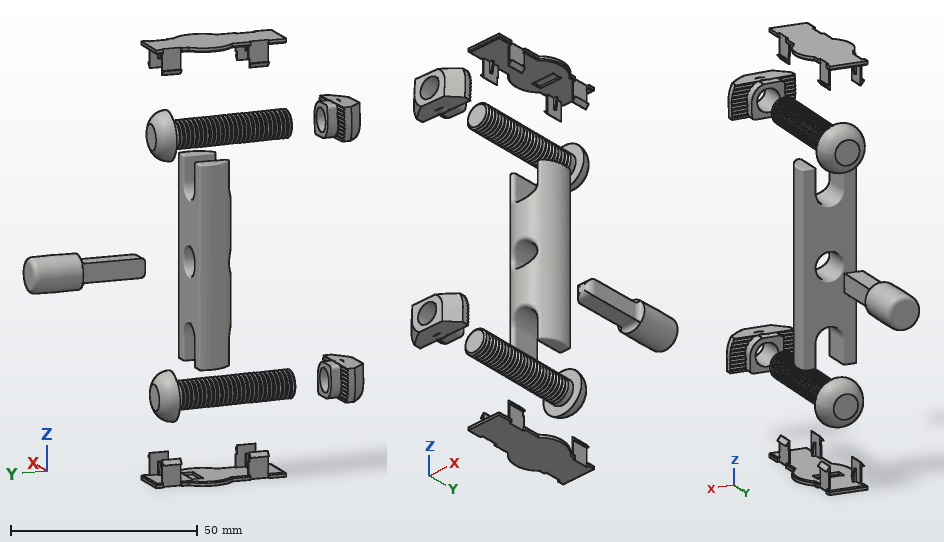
import cadquery as cq
import math

housing_radius = 8.5
housing_length = 56.9
housing_axis_y = -2.0
housing_back_y = 1.0
housing_mid_z = -0.1
housing_edge_round = 0.5
bore_diameter = 8.1
slot_center_offset = 21.2
bore_round = 1.0

plunger_tip_y = 13.9
tip_flat_half = 0.91
tip_round_length = 2.2
shank_half = 2.72
flare_radius = 1.5
knob_front_y = 33.3
knob_parting_y = 40.3
plunger_back_y = 47.2
knob_end_radius = 5.0
knob_parting_radius = 5.1
knob_back_round = 1.5

head_diameter = 14.0
head_height = 4.7
head_rim = 0.2
dome_bulge = 0.8
head_flat_radius = 3.6
bolt_length = 34.6
thread_diameter = 8.0
core_diameter = 6.8
thread_pitch = 1.25
thread_flat = 0.2
plain_neck = 1.9
thread_count = 26

nut_reach = 9.5
nut_half_height = 4.8
nut_stem_reach = 5.02
nut_stem_length = 2.9
nut_edge_length = 2.3
nut_front_reach = 5.6
nut_bevel = nut_reach - nut_front_reach
nut_length = nut_stem_length + nut_edge_length + nut_bevel
nut_stem_corner = 1.1
nut_hole_diameter = 6.8
serration_pitch = 1.1
serration_depth = 0.4
serration_count = 9

fastener_tilt = 0.8
nut_front_distance = 53.3
upper_seat_y = 7.1
lower_seat_y = 6.2
upper_seat_z = 35.2
lower_seat_z = -36.8
upper_nut_roll = 2.0
lower_nut_roll = 0.5

cap_outer_z = 60.5
cap_thickness = 1.2
cap_half_width = 5.7
cap_back_y = 12.6
cap_front_y = -24.9
cap_disc_radius = 8.5
cap_disc_y = -3.0
cap_edge_chamfer = 0.4
cap_pocket_length = 7.7
cap_pocket_width = 3.3
cap_pocket_depth = 0.7
clip_width = 5.3
clip_back_y = 7.9
clip_front_y = -17.3
clip_outer_x = 5.0
clip_thickness = 0.5
clip_tip_height = 7.4
clip_tip_width = 0.1
barb_height = 1.3
barb_reach = 0.7
rib_height = 4.8
rib_reach = 1.0
rib_top_reach = 0.5
rib_width = 0.6
shoulder_width = 0.4


def make_housing():
    half = housing_length / 2
    bar = (
        cq.Workplane("XY", origin=(0, housing_axis_y, -half))
        .circle(housing_radius)
        .extrude(housing_length)
    )
    cut_depth = housing_radius
    behind = cq.Workplane("XY").box(
        4 * housing_radius, cut_depth, 2 * housing_length, centered=(True, False, True)
    )
    bar = bar.cut(behind.translate((0, housing_back_y, 0)))

    def through(sketch):
        return sketch.extrude(4 * housing_radius, both=True)

    openings = through(cq.Workplane("XZ").circle(bore_diameter / 2))
    for side in (1, -1):
        round_end = cq.Workplane("XZ").center(0, side * slot_center_offset).circle(bore_diameter / 2)
        straight = cq.Workplane("XZ").center(0, side * (slot_center_offset + half / 2)).rect(bore_diameter, half)
        openings = openings.union(through(round_end)).union(through(straight))
    bar = bar.cut(openings)
    mouth_half = bore_diameter / 2 + bore_round
    mouths = cq.selectors.BoxSelector(
        (-mouth_half, -2 * housing_radius, -housing_length), (mouth_half, housing_axis_y, housing_length)
    )
    bar = bar.faces("%CYLINDER").edges(mouths).fillet(bore_round)
    bar = bar.faces("|Z or >Y").edges().fillet(housing_edge_round)
    return bar.translate((0, 0, housing_mid_z))


def shank_outline(plane):
    """Square-shank silhouette, flared at the knob and rounded at the tip, extruded across."""
    flare_y = knob_front_y - flare_radius
    side_start_y = plunger_tip_y + tip_round_length
    tip_radius = (tip_round_length**2 + (shank_half - tip_flat_half) ** 2) / (2 * (shank_half - tip_flat_half))
    flare_mid = flare_radius * (1 - math.sqrt(0.5))
    tip_angle = math.asin(tip_round_length / tip_radius) / 2
    tip_mid = (
        shank_half - tip_radius * (1 - math.cos(tip_angle)),
        side_start_y - tip_radius * math.sin(tip_angle),
    )
    flared_half = shank_half + flare_radius
    return (
        cq.Workplane(plane)
        .moveTo(-tip_flat_half, plunger_tip_y)
        .lineTo(tip_flat_half, plunger_tip_y)
        .threePointArc(tip_mid, (shank_half, side_start_y))
        .lineTo(shank_half, flare_y)
        .threePointArc((shank_half + flare_mid, knob_front_y - flare_mid), (flared_half, knob_front_y))
        .lineTo(-flared_half, knob_front_y)
        .threePointArc((-shank_half - flare_mid, knob_front_y - flare_mid), (-shank_half, flare_y))
        .lineTo(-shank_half, side_start_y)
        .threePointArc((-tip_mid[0], tip_mid[1]), (-tip_flat_half, plunger_tip_y))
        .close()
        .extrude(2 * flared_half, both=True)
    )


def make_plunger():
    knob = (
        cq.Workplane("XY")
        .moveTo(0, knob_front_y)
        .lineTo(knob_end_radius, knob_front_y)
        .lineTo(knob_parting_radius, knob_parting_y)
        .lineTo(knob_end_radius, plunger_back_y)
        .lineTo(0, plunger_back_y)
        .close()
        .revolve(360, (0, 0, 0), (0, 1, 0))
        .faces(">Y")
        .edges()
        .fillet(knob_back_round)
    )
    across_x = shank_outline("XY")
    across_z = shank_outline(cq.Plane((0, 0, 0), xDir=(0, 0, 1), normal=(-1, 0, 0)))
    envelope = cq.Workplane("XZ").circle(knob_end_radius).extrude(-plunger_back_y)
    shank = across_x.intersect(across_z).intersect(envelope)
    return knob.union(shank).translate((0, 0, housing_mid_z))


def make_bolt():
    """Bolt along -Y with the underside of its head at y = 0."""
    head_radius = head_diameter / 2
    crest = thread_diameter / 2
    root = core_diameter / 2
    flank = thread_pitch / 2 - thread_flat
    dome_angle = math.atan2(head_height - head_rim, head_radius - head_flat_radius)
    dome_mid = (
        (head_radius + head_flat_radius) / 2 + dome_bulge * math.sin(dome_angle),
        (head_height + head_rim) / 2 + dome_bulge * math.cos(dome_angle),
    )
    profile = (
        cq.Workplane("XY")
        .moveTo(0, head_height)
        .lineTo(head_flat_radius, head_height)
        .threePointArc(dome_mid, (head_radius, head_rim))
        .lineTo(head_radius, 0)
        .lineTo(crest, 0)
    )
    for ring in range(thread_count):
        y = -plain_neck - ring * thread_pitch
        profile = (
            profile.lineTo(crest, y)
            .lineTo(root, y - flank)
            .lineTo(root, y - flank - thread_flat)
            .lineTo(crest, y - 2 * flank - thread_flat)
        )
    return (
        profile.lineTo(root, -bolt_length)
        .lineTo(0, -bolt_length)
        .close()
        .revolve(360, (0, 0, 0), (0, 1, 0))
    )


def half_round_block(half_outline, half_height):
    """Block from the +X half of its outline: two opposite quarters are square, the other two turned."""
    outline = cq.Workplane("XY").polyline(half_outline).close()
    square = outline.extrude(half_height, both=True)
    square = square.union(square.mirror("YZ"))
    turned = cq.Workplane("XY").polyline(half_outline).close().revolve(360, (0, 0, 0), (0, 1, 0))
    size = 2 * nut_reach
    quarter = cq.Workplane("XY").box(size, size, half_height, centered=(False, True, False))
    opposite = quarter.rotate((0, 0, 0), (0, 1, 0), 180)
    round_quarters = turned.intersect(quarter.union(opposite))
    square_quarters = square.cut(quarter).cut(opposite)
    return square_quarters.union(round_quarters)


def make_nut():
    """Nut along Y with its bevelled front at y = 0 and its stem toward +Y."""
    stem_y = nut_length - nut_stem_length
    body_outline = [(0, 0), (nut_front_reach, 0), (nut_reach, nut_bevel), (nut_reach, stem_y), (0, stem_y)]
    stem_outline = [(0, stem_y), (nut_stem_reach, stem_y), (nut_stem_reach, nut_length), (0, nut_length)]
    body = half_round_block(body_outline, nut_half_height)
    for index in range(serration_count):
        z = (index - (serration_count - 1) / 2) * serration_pitch
        groove = (
            cq.Workplane("YZ")
            .polyline([
                (stem_y, z - serration_pitch / 2),
                (stem_y - serration_depth, z),
                (stem_y, z + serration_pitch / 2),
            ])
            .close()
            .extrude(2 * nut_reach, both=True)
        )
        body = body.cut(groove)
    core = cq.Workplane("XZ", origin=(0, stem_y, 0)).circle(nut_stem_reach).extrude(nut_edge_length)
    body = body.union(core)
    stem = half_round_block(stem_outline, nut_half_height)
    for x, z in ((-1, 1), (1, -1)):
        corner = cq.selectors.NearestToPointSelector((x * nut_stem_reach, nut_length, z * nut_half_height))
        stem = stem.edges("|Y").edges(corner).fillet(nut_stem_corner)
    nut = body.union(stem)
    hole = cq.Workplane("XZ").circle(nut_hole_diameter / 2).extrude(-nut_length)
    return nut.cut(hole)


def place_on_axis(body, seat_y, seat_z):
    return body.rotate((0, 0, 0), (1, 0, 0), -fastener_tilt).translate((0, seat_y, seat_z))


def make_clip(side, mid_y, shoulder):
    """Barbed clip with an inner rib; side is +1 or -1 along X."""
    inner_x = clip_outer_x - clip_thickness
    ledge_z = clip_tip_height - barb_height
    blade = (
        cq.Workplane("XZ", origin=(0, mid_y, 0))
        .polyline([
            (side * inner_x, 0),
            (side * clip_outer_x, 0),
            (side * clip_outer_x, ledge_z),
            (side * (clip_outer_x + barb_reach), ledge_z),
            (side * (inner_x + clip_tip_width), clip_tip_height),
            (side * inner_x, clip_tip_height),
        ])
        .close()
        .extrude(clip_width / 2, both=True)
    )
    rib = (
        cq.Workplane("XZ", origin=(0, mid_y, 0))
        .polyline([
            (side * clip_outer_x, 0),
            (side * (inner_x - rib_reach), 0),
            (side * (inner_x - rib_reach), cap_thickness),
            (side * (inner_x - rib_top_reach), rib_height),
            (side * clip_outer_x, rib_height),
        ])
        .close()
        .extrude(rib_width / 2, both=True)
    )
    clip = blade.union(rib)
    if shoulder:
        step = cq.Workplane("XY").box(clip_thickness, shoulder_width, rib_height, centered=(True, False, False))
        clip = clip.union(step.translate((side * (inner_x + clip_thickness / 2), mid_y + clip_width / 2, 0)))
    return clip


def make_cap():
    """Cap with its outer face at z = 0 and its clips toward +Z."""
    strip_length = cap_back_y - cap_front_y
    strip_mid_y = (cap_back_y + cap_front_y) / 2
    strip = cq.Workplane("XY").center(0, strip_mid_y).rect(2 * cap_half_width, strip_length).extrude(cap_thickness)
    disc = cq.Workplane("XY").center(0, cap_disc_y).circle(cap_disc_radius).extrude(cap_thickness)
    plate = strip.union(disc).faces(">Z").edges().chamfer(cap_edge_chamfer)
    pocket = cq.Workplane("XY", origin=(0, 0, cap_thickness)).rect(cap_pocket_length, cap_pocket_width)
    plate = plate.cut(pocket.extrude(-cap_pocket_depth))
    notch_depth = cap_half_width - clip_outer_x
    for side in (1, -1):
        for mid_y in (clip_back_y, clip_front_y):
            notch = cq.Workplane("XY").box(2 * notch_depth, clip_width, 3 * cap_thickness)
            plate = plate.cut(notch.translate((side * (clip_outer_x + notch_depth), mid_y, 0)))
            plate = plate.union(make_clip(side, mid_y, mid_y == clip_front_y))
    return plate


housing = make_housing()
plunger = make_plunger()

bolts = []
nuts = []
for seat_y, seat_z, roll in (
    (upper_seat_y, upper_seat_z, upper_nut_roll),
    (lower_seat_y, lower_seat_z, lower_nut_roll),
):
    bolts.append(place_on_axis(make_bolt(), seat_y, seat_z).val())
    rolled_nut = make_nut().rotate((0, 0, 0), (0, 1, 0), roll).translate((0, -nut_front_distance, 0))
    nuts.append(place_on_axis(rolled_nut, seat_y, seat_z).val())

lower_cap = make_cap().translate((0, 0, -cap_outer_z))
upper_cap = make_cap().rotate((0, 0, 0), (0, 1, 0), 180).translate((0, 0, cap_outer_z))
caps = [lower_cap.val(), upper_cap.val()]

result = cq.Compound.makeCompound([housing.val(), plunger.val(), *bolts, *nuts, *caps])